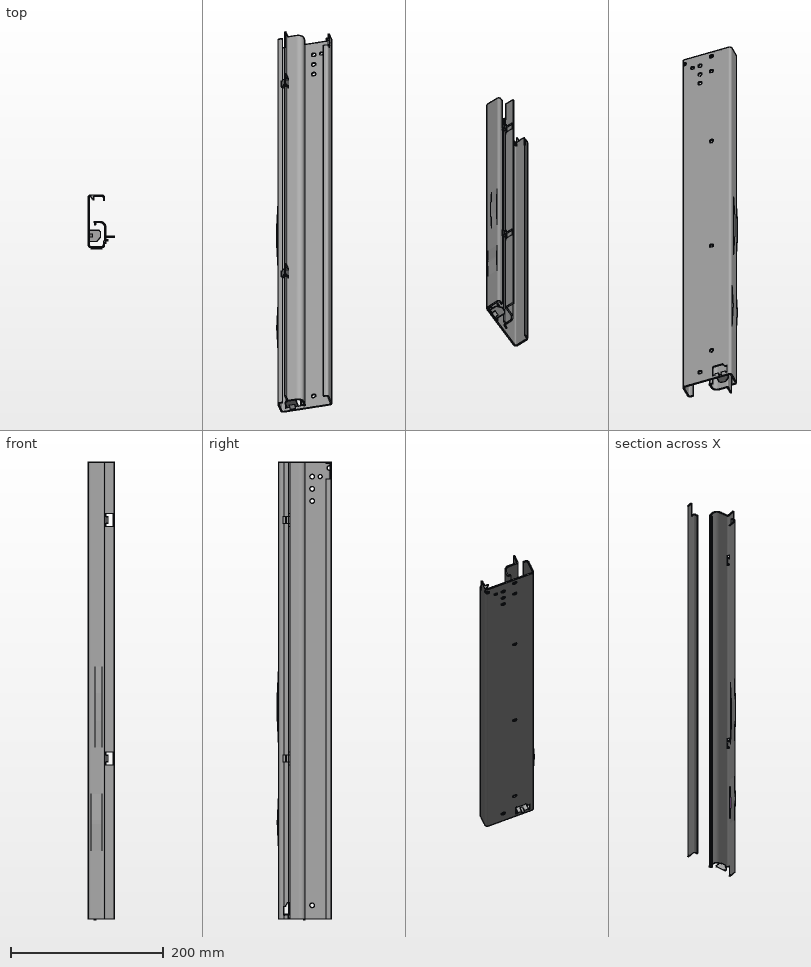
import cadquery as cq
import math

total_height = 600.0
nib_height = 1.0
sheet_bottom = nib_height
sheet_length = total_height - nib_height
thickness = 1.8
half_sheet = thickness / 2

overall_depth = 70.8
pad_rise = 1.6
rail_depth = overall_depth - pad_rise
half_depth = rail_depth / 2
rail_width = 21.7
rail_bend = 2.7
bend_depth = rail_bend + half_sheet
lip_end = 27.6

lip_notch_x = 15.5
lip_notch_height = 22.0

leg_inner = rail_width
leg_outer = leg_inner + thickness
fin_end = 34.55
fin_bottom = -21.3
fin_bend = 1.0
track_top = 0.1
track_bend = 7.0
curl_start = 7.8
curl_bend = 1.6
curl_end_x = 9.4
curl_end_y = -4.6
nib_center = 9.2
nib_width = 2.4

window_levels = (211.4, 524.2)
window_height = 16.6
window_margin = 1.8
window_end = fin_end - window_margin
tab_height = 9.0
tab_top = fin_bottom + half_sheet + fin_bend
tab_lap = 1.2
hook_end = 26.2
hook_bottom = -25.6

hole_diameter = 5.8
small_diameter = 5.0
upper_column = 9.6
lower_column = -6.7
outer_column = 20.1
web_holes = [
    (upper_column, 19.0, hole_diameter),
    (upper_column, 549.0, hole_diameter),
    (upper_column, 565.0, hole_diameter),
    (upper_column, 581.0, hole_diameter),
    (lower_column, 53.0, hole_diameter),
    (lower_column, 245.0, hole_diameter),
    (lower_column, 437.0, hole_diameter),
    (lower_column, 565.0, hole_diameter),
    (lower_column, 592.3, hole_diameter),
    (outer_column, 581.0, small_diameter),
]

corner_hole_y = 32.0
corner_hole_z = 592.3
corner_hole_diameter = 5.5
ear_start = 3.2
ear_end = 7.6
ear_tip = 28.0
ear_tip_width = 1.0
ear_height = 2.0

opening_high = -8.2
opening_low = -28.6
opening_top = 22.4
opening_chamfer = 1.6
opening_step_width = 6.0
opening_step_height = 5.0
plate_top = 7.8
plate_high = -11.6
plate_low = -26.6
plate_reach = 16.6
plate_chamfer = 2.4
plate_slant_start = -20.5
plate_slant_width = 5.2
relief_bottom = plate_top - thickness

gusset_y = -18.6
gusset_width = 7.4
gusset_reach = 9.0
gusset_drop = 6.4
dent_width = 3.8
dent_reach = 6.0
dent_drop = 4.2

pad_taper = 34.4
pad_right = 18.0
pads = [
    (9.0, 279.0, 36.2),
    (bend_depth, 127.7, 5.4),
]


def box(x_range, y_range, z_range):
    low = cq.Vector(x_range[0], y_range[0], z_range[0])
    size = cq.Vector(x_range[1], y_range[1], z_range[1]) - low
    return cq.Workplane("XY").box(size.x, size.y, size.z, centered=False).translate(low)


def bent_sheet(points, radii):
    """Sweep the sheet thickness along a midline whose corners are rounded by the given radii."""
    corners = [cq.Vector(*point) for point in points]
    path = cq.Workplane("XY", origin=(0, 0, sheet_bottom)).moveTo(*points[0])
    for before, corner, after, radius in zip(corners, corners[1:], corners[2:], radii):
        back = (before - corner).normalized()
        ahead = (after - corner).normalized()
        half_angle = back.getAngle(ahead) / 2
        setback = radius / math.tan(half_angle)
        middle_reach = radius / math.sin(half_angle) - radius
        arc_start = corner + back * setback
        arc_middle = corner + (back + ahead).normalized() * middle_reach
        arc_end = corner + ahead * setback
        path = path.lineTo(arc_start.x, arc_start.y)
        path = path.threePointArc((arc_middle.x, arc_middle.y), (arc_end.x, arc_end.y))
    path = path.lineTo(*points[-1])
    start = corners[0] + cq.Vector(0, 0, sheet_bottom + sheet_length / 2)
    section_plane = cq.Plane(origin=start, xDir=(0, 0, 1), normal=corners[1] - corners[0])
    return cq.Workplane(section_plane).rect(sheet_length, thickness).sweep(path)


def web_opening():
    """Opening outline with one chamfered and one stepped upper corner."""
    step_y = opening_low + opening_step_width
    step_z = opening_top - opening_step_height
    outline = [
        (opening_high, relief_bottom),
        (opening_high, opening_top - opening_chamfer),
        (opening_high - opening_chamfer, opening_top),
        (step_y, opening_top),
        (opening_low + opening_step_width / 2, step_z),
        (opening_low, step_z),
        (opening_low, relief_bottom),
    ]
    return cq.Workplane("YZ").polyline(outline).close().extrude(thickness)


def stop_plate():
    outline = [
        (0, plate_high),
        (plate_reach - plate_chamfer, plate_high),
        (plate_reach, plate_high - plate_chamfer),
        (plate_reach, plate_slant_start),
        (plate_reach - plate_slant_width, plate_low),
        (0, plate_low),
    ]
    return cq.Workplane("XY", origin=(0, 0, relief_bottom)).polyline(outline).close().extrude(thickness)


def fold_wedge(reach, drop, width):
    """Triangular wedge filling the fold between web and stop plate."""
    outline = [(0, plate_top), (reach, plate_top), (0, plate_top - drop)]
    wedge = cq.Workplane("XZ").polyline(outline).close().extrude(width / 2, both=True)
    return wedge.translate((0, gusset_y, 0))


def corner_ear():
    flange_inner = half_depth - thickness
    outline = [
        (ear_start, flange_inner),
        (ear_end, flange_inner),
        (ear_end, ear_tip),
        (ear_end - ear_tip_width, ear_tip),
    ]
    ear = cq.Workplane("XY").polyline(outline).close().extrude(ear_height)
    return ear.translate((0, 0, total_height - ear_height))


def flange_pad(left, middle, flat):
    half_flat = flat / 2
    half_length = half_flat + pad_taper
    outline = [
        (-half_depth, middle - half_length),
        (-half_depth - pad_rise, middle - half_flat),
        (-half_depth - pad_rise, middle + half_flat),
        (-half_depth, middle + half_length),
    ]
    pad = cq.Workplane("YZ").polyline(outline).close().extrude(pad_right - left)
    return pad.translate((left, 0, 0))


def hooked_tab(level):
    """Tab joggled outward from the rail lip, with a hook turned toward +X."""
    z_range = (level - tab_height / 2, level + tab_height / 2)
    joggle = box((rail_width - thickness, leg_outer), (-lip_end - tab_lap, hook_bottom), z_range)
    riser = box((leg_inner, leg_outer), (hook_bottom, tab_top), z_range)
    hook = box((leg_inner, hook_end), (hook_bottom, hook_bottom + thickness), z_range)
    return joggle.union(riser).union(hook)


def make_rail():
    web_x = half_sheet
    lip_x = rail_width - half_sheet
    flange_y = half_depth - half_sheet
    midline = [
        (lip_x, lip_end),
        (lip_x, flange_y),
        (web_x, flange_y),
        (web_x, -flange_y),
        (lip_x, -flange_y),
        (lip_x, -lip_end),
    ]
    rail = bent_sheet(midline, [rail_bend] * 4)
    bores = [*web_holes, (corner_hole_y, corner_hole_z, corner_hole_diameter)]
    for y, z, diameter in bores:
        rail = rail.cut(cq.Workplane("YZ", origin=(0, y, z)).circle(diameter / 2).extrude(bend_depth))
    rail = rail.cut(web_opening()).union(stop_plate())
    rail = rail.union(fold_wedge(gusset_reach, gusset_drop, gusset_width))
    rail = rail.cut(fold_wedge(dent_reach, dent_drop, dent_width))
    rail = rail.union(corner_ear())
    for left, middle, flat in pads:
        rail = rail.union(flange_pad(left, middle, flat))
    for level in window_levels:
        rail = rail.union(hooked_tab(level))
    rail_notch = box(
        (lip_notch_x, rail_width),
        (lip_end - tab_lap, half_depth),
        (total_height - lip_notch_height, total_height),
    )
    return rail.cut(rail_notch)


def make_track_strip():
    leg_x = leg_inner + half_sheet
    track_y = track_top - half_sheet
    fin_y = fin_bottom + half_sheet
    midline = [
        (curl_end_x, curl_end_y),
        (curl_start + half_sheet, track_y),
        (leg_x, track_y),
        (leg_x, fin_y),
        (fin_end, fin_y),
    ]
    strip = bent_sheet(midline, [curl_bend, track_bend, fin_bend])
    for level in window_levels:
        z_range = (level - window_height / 2, level + window_height / 2)
        strip = strip.cut(box((leg_inner, window_end), (fin_bottom, tab_top), z_range))
    nib_x_range = (nib_center - nib_width / 2, nib_center + nib_width / 2)
    nib = box(nib_x_range, (track_top - thickness, track_top), (0, sheet_bottom))
    return strip.union(nib)


rail = make_rail()
track_strip = make_track_strip()
result = cq.Compound.makeCompound([rail.val(), track_strip.val()])